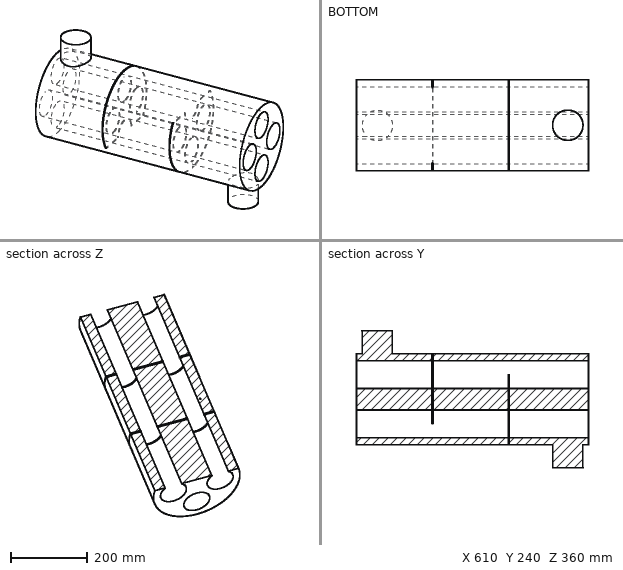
import cadquery as cq

shell_length = 610.0
shell_diameter = 240.0
shell_radius = shell_diameter / 2

tube_diameter = 72.0
tube_circle_radius = 64.5
tube_count = 4

nozzle_diameter = 80.0
overall_height = 360.0
nozzle_tip = overall_height / 2
nozzle_end_distance = 55.0

slit_width = 2.5
slit_spacing = 200.0
slit_overshoot = 64.0


def nozzle(x, direction):
    """Solid pin from the shell axis out to its tip; direction is +1 up, -1 down."""
    return (
        cq.Workplane("XY")
        .center(x, 0)
        .circle(nozzle_diameter / 2)
        .extrude(direction * nozzle_tip)
    )


def baffle_slit(x, direction):
    """Slab that opens the shell at the top (+1) or bottom (-1)."""
    depth = shell_radius + slit_overshoot
    center_z = direction * (shell_radius - depth / 2)
    slab = cq.Workplane("XY").box(slit_width, shell_diameter, depth)
    return slab.translate((x, 0, center_z))


shell = cq.Workplane("YZ").circle(shell_radius).extrude(shell_length)
shell = shell.union(nozzle(nozzle_end_distance, 1))
shell = shell.union(nozzle(shell_length - nozzle_end_distance, -1))

tubes = (
    cq.Workplane("YZ")
    .polarArray(tube_circle_radius, 0, 360, tube_count)
    .circle(tube_diameter / 2)
    .extrude(shell_length)
)

result = (
    shell.cut(tubes)
    .cut(baffle_slit(slit_spacing, 1))
    .cut(baffle_slit(2 * slit_spacing, -1))
)